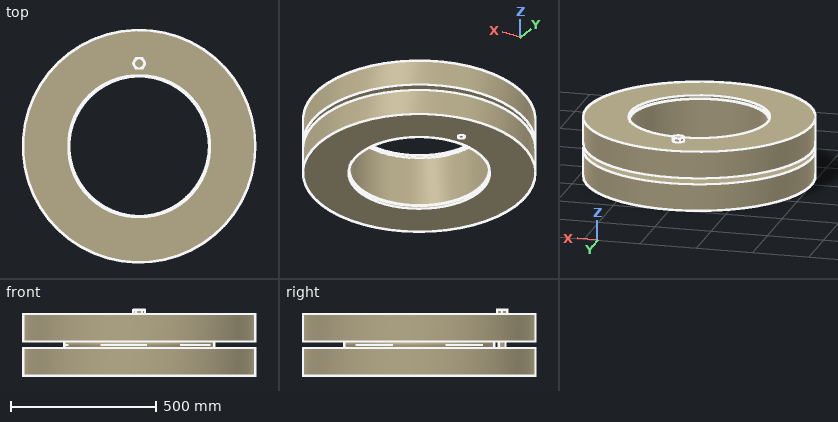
import cadquery as cq
import math

flange_diameter = 800.0
flange_thickness = 96.0
flange_gap = 22.0
stack_height = 2 * flange_thickness + flange_gap
mid_height = stack_height / 2

ring_bore_diameter = 480.0
ring_ridge_diameter = 518.0
ring_length = 189.0
flange_mouth_diameter = 486.0
taper_slope = (ring_ridge_diameter - flange_mouth_diameter) / 2 / mid_height

bolt_offset = 285.0
shank_diameter = 24.0
head_across_flats = 36.0
head_across_corners = head_across_flats / math.cos(math.radians(30))
head_height = 14.0
head_top_diameter = head_across_flats
head_chamfer_angle = 30.0


def taper_radius(z):
    """Radius of the double taper shared by the ring and the flange bores."""
    return ring_ridge_diameter / 2 - taper_slope * abs(z - mid_height)


def revolve_profile(points):
    """Turn a closed (radius, z) outline about the Z axis."""
    return cq.Workplane("XZ").polyline(points).close().revolve(360, (0, 0, 0), (0, 1, 0))


def make_flange(bottom):
    """Disc with a tapered bore and a hole for the bolt shank."""
    top = bottom + flange_thickness
    disc = revolve_profile([
        (taper_radius(bottom), bottom),
        (flange_diameter / 2, bottom),
        (flange_diameter / 2, top),
        (taper_radius(top), top),
    ])
    bolt_hole = (
        cq.Workplane("XY", origin=(0, bolt_offset, bottom))
        .circle(shank_diameter / 2)
        .extrude(flange_thickness)
    )
    return disc.cut(bolt_hole)


def make_taper_ring():
    """Ring with a plain bore, tapering from its mid-height ridge to both ends."""
    bottom = mid_height - ring_length / 2
    top = mid_height + ring_length / 2
    return revolve_profile([
        (ring_bore_diameter / 2, bottom),
        (taper_radius(bottom), bottom),
        (taper_radius(mid_height), mid_height),
        (taper_radius(top), top),
        (ring_bore_diameter / 2, top),
    ])


def make_bolt():
    """Bolt with a chamfered hexagon head, its shank ending flush with the lower flange."""
    corner_radius = head_across_corners / 2
    head_top_radius = head_top_diameter / 2
    chamfer_drop = (corner_radius - head_top_radius) * math.tan(math.radians(head_chamfer_angle))
    head_top = stack_height + head_height

    hexagon = cq.Workplane("XY").workplane(offset=stack_height).polygon(6, head_across_corners)
    chamfer_envelope = revolve_profile([
        (0, stack_height),
        (corner_radius, stack_height),
        (corner_radius, head_top - chamfer_drop),
        (head_top_radius, head_top),
        (0, head_top),
    ])
    head = hexagon.extrude(head_height).intersect(chamfer_envelope)
    shank = cq.Workplane("XY").circle(shank_diameter / 2).extrude(stack_height)
    return head.union(shank).translate((0, bolt_offset, 0))


flanges = [make_flange(bottom) for bottom in (0, flange_thickness + flange_gap)]
taper_ring = make_taper_ring()
bolt = make_bolt()

result = cq.Compound.makeCompound([
    *[flange.val() for flange in flanges],
    taper_ring.val(),
    bolt.val(),
])